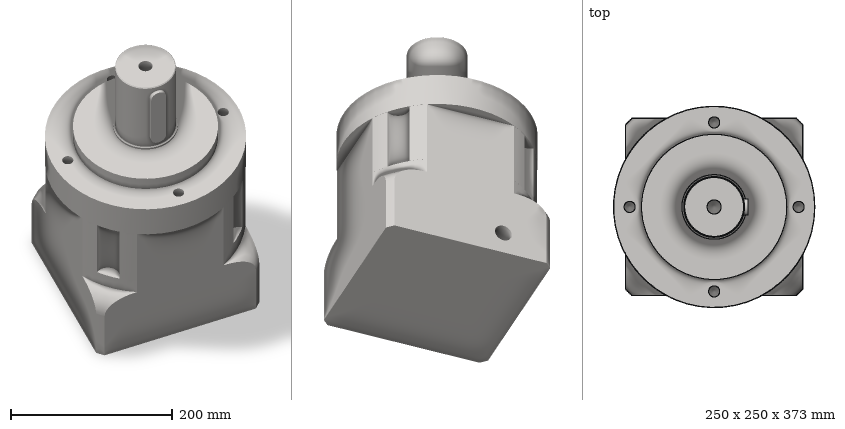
import cadquery as cq
import math

HOUSING_WIDTH = 220.0
BODY_RADIUS = 124.5
FLANGE_RADIUS = 125.0

ADAPTER_TOP = 116.5
FLANGE_BOTTOM = 201.5
FLANGE_TOP = 246.5
PILOT_TOP = 265.0
COLLAR_TOP = 267.5
SHAFT_TOP = 373.0

NECK_BOTTOM = 96.2
SHOULDER_RADIUS = 25.5
CORNER_RADIUS = BODY_RADIUS + SHOULDER_RADIUS
HUB_RADIUS = 53.7
ACCESS_HOLE_DIAMETER = 22.5
ACCESS_HOLE_Y = -44.0
ACCESS_HOLE_Z = 30.2

GROOVE_RADIUS = 15.0
GROOVE_CIRCLE_RADIUS = 125.5
GROOVE_COUNT = 4
FIRST_GROOVE_ANGLE = 45.0
PILOT_DIAMETER = 180.0
COLLAR_DIAMETER = 80.2
SHAFT_DIAMETER = 75.5
SHAFT_CHAMFER = 1.0
CENTRE_HOLE_DIAMETER = 17.5
CENTRE_HOLE_DEPTH = 37.3
BOLT_HOLE_DIAMETER = 13.8
BOLT_HOLE_DEPTH = 30.0
BOLT_CIRCLE_RADIUS = 104.8
BOLT_COUNT = 4
DRILL_POINT_ANGLE = 118.0

KEY_WIDTH = 20.0
KEY_HEIGHT = 12.0
KEY_OUTER_X = 41.8
KEY_BOTTOM = 276.0
KEY_LENGTH = 89.5


def cylinder(diameter, bottom, top):
    """Upright cylinder on the gearbox axis."""
    return cq.Workplane("XY").workplane(offset=bottom).circle(diameter / 2).extrude(top - bottom)


def square_block(bottom, top):
    """Square housing block on the gearbox axis."""
    return (
        cq.Workplane("XY")
        .workplane(offset=bottom)
        .rect(HOUSING_WIDTH, HOUSING_WIDTH)
        .extrude(top - bottom)
    )


def drilled_hole(x, y, top, diameter, depth):
    """Blind hole, drilled down from `top`, with a conical bottom."""
    radius = diameter / 2
    point_length = radius / math.tan(math.radians(DRILL_POINT_ANGLE / 2))
    return (
        cq.Workplane("XZ")
        .moveTo(0, top)
        .lineTo(radius, top)
        .lineTo(radius, top - depth)
        .lineTo(0, top - depth - point_length)
        .close()
        .revolve(360, (0, 0), (0, 1))
        .translate((x, y, 0))
    )


def make_adapter():
    """Square motor adapter whose corners round over into a round neck."""
    arc_centre_z = NECK_BOTTOM - SHOULDER_RADIUS
    arc_offset = SHOULDER_RADIUS * math.sqrt(0.5)
    corner_envelope = (
        cq.Workplane("XZ")
        .lineTo(CORNER_RADIUS, 0)
        .lineTo(CORNER_RADIUS, arc_centre_z)
        .threePointArc(
            (BODY_RADIUS + arc_offset, arc_centre_z + arc_offset),
            (BODY_RADIUS, NECK_BOTTOM),
        )
        .lineTo(BODY_RADIUS, ADAPTER_TOP)
        .lineTo(0, ADAPTER_TOP)
        .close()
        .revolve(360, (0, 0), (0, 1))
    )
    adapter = square_block(0, ADAPTER_TOP).intersect(corner_envelope)

    access_hole = (
        cq.Workplane("YZ")
        .center(ACCESS_HOLE_Y, ACCESS_HOLE_Z)
        .circle(ACCESS_HOLE_DIAMETER / 2)
        .extrude(-HOUSING_WIDTH / 2)
    )
    hub_bore = cylinder(2 * HUB_RADIUS, 0, ADAPTER_TOP)
    return adapter.cut(access_hole).cut(hub_bore)


def make_key():
    """Round-ended key lying along the shaft; also the shape of its keyway."""
    return (
        cq.Workplane("YZ")
        .workplane(offset=KEY_OUTER_X - KEY_HEIGHT)
        .center(0, KEY_BOTTOM + KEY_LENGTH / 2)
        .slot2D(KEY_LENGTH, KEY_WIDTH, 90)
        .extrude(KEY_HEIGHT)
    )


def make_gearbox():
    """Gearbox housing with its flange, output shaft and input hub."""
    body = square_block(ADAPTER_TOP, FLANGE_BOTTOM)
    body = body.intersect(cylinder(2 * BODY_RADIUS, ADAPTER_TOP, FLANGE_BOTTOM))

    grooves = (
        cq.Workplane("XY")
        .workplane(offset=ADAPTER_TOP)
        .polarArray(GROOVE_CIRCLE_RADIUS, FIRST_GROOVE_ANGLE, 360, GROOVE_COUNT)
        .circle(GROOVE_RADIUS)
        .extrude(FLANGE_BOTTOM - ADAPTER_TOP)
    )
    body = body.cut(grooves)

    hub = cylinder(2 * HUB_RADIUS, 0, ADAPTER_TOP)
    flange = cylinder(2 * FLANGE_RADIUS, FLANGE_BOTTOM, FLANGE_TOP)
    pilot = cylinder(PILOT_DIAMETER, FLANGE_TOP, PILOT_TOP)
    collar = cylinder(COLLAR_DIAMETER, PILOT_TOP, COLLAR_TOP)
    shaft = cylinder(SHAFT_DIAMETER, COLLAR_TOP, SHAFT_TOP).faces(">Z").chamfer(SHAFT_CHAMFER)
    gearbox = body.union(hub).union(flange).union(pilot).union(collar).union(shaft)

    for index in range(BOLT_COUNT):
        angle = math.radians(360 / BOLT_COUNT * index)
        x = BOLT_CIRCLE_RADIUS * math.cos(angle)
        y = BOLT_CIRCLE_RADIUS * math.sin(angle)
        gearbox = gearbox.cut(drilled_hole(x, y, FLANGE_TOP, BOLT_HOLE_DIAMETER, BOLT_HOLE_DEPTH))

    gearbox = gearbox.cut(drilled_hole(0, 0, SHAFT_TOP, CENTRE_HOLE_DIAMETER, CENTRE_HOLE_DEPTH))
    return gearbox.cut(make_key())


adapter = make_adapter()
gearbox = make_gearbox()
key = make_key()

result = cq.Compound.makeCompound([adapter.val(), gearbox.val(), key.val()])